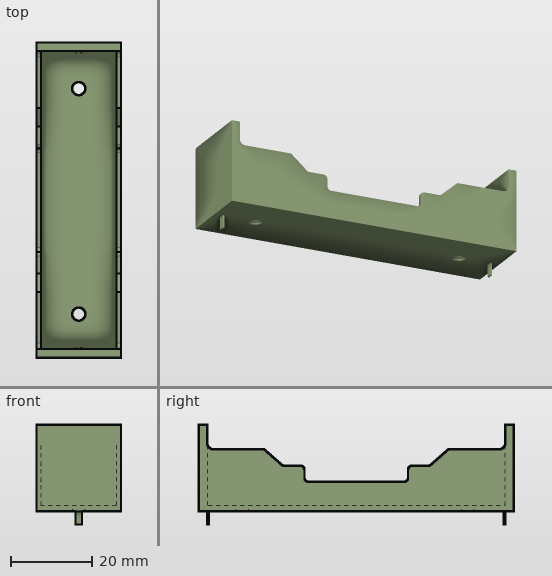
import cadquery as cq

length = 77.7
width = 20.8
end_height = 21.4
end_thickness = 2.2
side_thickness = 1.2
floor_thickness = 1.5

shoulder_height = 15.3
step_height = 11.3
middle_height = 7.3
slope_outer_y = 22.7
slope_inner_y = 18.1
step_y = 12.75
end_fillet = 1.5
step_fillet = 1.0

hole_diameter = 3.2
hole_spacing = 55.6
hole_center_y = -0.3

pin_width = 1.6
pin_thickness = 0.5
pin_length = 3.3
pin_inset = 2.3

inner_length = length - 2 * end_thickness
inner_width = width - 2 * side_thickness


def make_tray():
    """Open box with a floor, two sides and two ends."""
    block = cq.Workplane("XY").box(width, length, end_height, centered=(True, True, False))
    cavity = (
        cq.Workplane("XY")
        .workplane(offset=floor_thickness)
        .rect(inner_width, inner_length)
        .extrude(end_height)
    )
    return block.cut(cavity)


def make_side_cutout():
    """Stepped opening that runs across both side walls."""
    half_inner = inner_length / 2
    right_half = [
        (step_y, middle_height),
        (step_y, step_height),
        (slope_inner_y, step_height),
        (slope_outer_y, shoulder_height),
        (half_inner, shoulder_height),
        (half_inner, end_height),
    ]
    left_half = [(-y, z) for y, z in reversed(right_half)]
    cutout = cq.Workplane("YZ").polyline(right_half + left_half).close().extrude(width / 2, both=True)

    def edges_at(y, z):
        margin = 0.1
        selector = cq.selectors.BoxSelector(
            (-width, y - margin, z - margin), (width, y + margin, z + margin)
        )
        return cutout.edges(selector)

    for side in (-1, 1):
        cutout = edges_at(side * step_y, middle_height).fillet(step_fillet)
        cutout = edges_at(side * step_y, step_height).fillet(step_fillet)
        cutout = edges_at(side * half_inner, shoulder_height).fillet(end_fillet)
    return cutout


def make_holes():
    """Two round holes through the floor."""
    centers = [(0, hole_center_y + side * hole_spacing / 2) for side in (-1, 1)]
    return cq.Workplane("XY").pushPoints(centers).circle(hole_diameter / 2).extrude(floor_thickness)


def make_pins():
    """One flat pin under each end."""
    pin_y = length / 2 - pin_inset
    return (
        cq.Workplane("XY")
        .pushPoints([(0, -pin_y), (0, pin_y)])
        .rect(pin_width, pin_thickness)
        .extrude(-pin_length)
    )


result = make_tray().cut(make_side_cutout()).cut(make_holes()).union(make_pins())